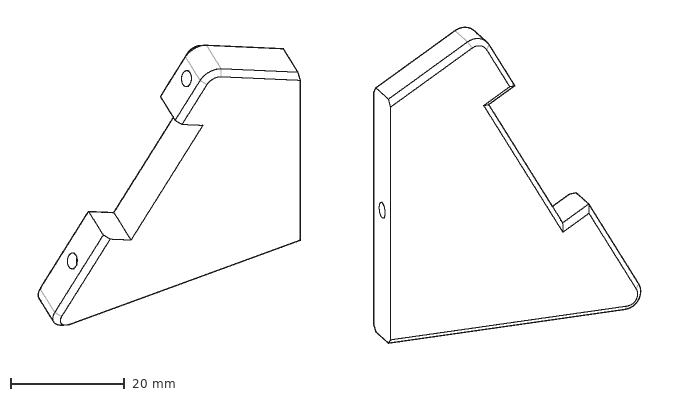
import cadquery as cq
import math

thickness = 8.0
base_length = 50.0
back_height = 46.0
slope_angle = 60.0
nose_radius = 3.0
edge_chamfer = 1.0

notch_start = 24.1
notch_length = 28.0
notch_depth = 5.7

hole_diameter = 2.8
slope_hole_spacing = 44.5
lower_hole_position = 14.9
lower_hole_depth = 2.0
upper_hole_depth = 14.0
back_hole_height = 24.0
back_hole_depth = 14.0

slope = math.radians(slope_angle)
slope_up = (math.cos(slope), math.sin(slope))
slope_inward = (math.sin(slope), -math.cos(slope))


def slope_point(along, depth=0.0):
    """(y, z) of a point up the slope from the sharp toe and below the sloping face."""
    y = -base_length + along * slope_up[0] + depth * slope_inward[0]
    z = along * slope_up[1] + depth * slope_inward[1]
    return (y, z)


def prism(outline):
    """Extrude a (y, z) outline over the full thickness, centred on x = 0."""
    return cq.Workplane("YZ").polyline(outline).close().extrude(thickness / 2, both=True)


def chamfer_side(body, side):
    """Chamfer the outline of one side face, leaving its straight back edge sharp."""
    return body.faces(side).edges("not >Y").chamfer(edge_chamfer)


def make_plate():
    """Plate with a sharp-angled toe and a right-angled peak, both rounded."""
    peak_along = base_length * slope_up[0] + back_height * slope_up[1]
    plate = prism([(0, 0), slope_point(0), slope_point(peak_along), (0, back_height)])
    toe_and_peak = plate.edges("|X").edges("<Y or >Z")
    return toe_and_peak.fillet(nose_radius)


def make_notch():
    """Square notch cutter, reaching clear of the sloping face."""
    notch_end = notch_start + notch_length
    return prism([
        slope_point(notch_start, notch_depth),
        slope_point(notch_end, notch_depth),
        slope_point(notch_end, -notch_depth),
        slope_point(notch_start, -notch_depth),
    ])


def make_hole(mouth, direction, depth):
    """Blind hole cutter in the mid-plane from a (y, z) mouth along a (y, z) direction."""
    return cq.Workplane(cq.Solid.makeCylinder(
        hole_diameter / 2, depth, cq.Vector(0, *mouth), cq.Vector(0, *direction)
    ))


result = chamfer_side(make_plate(), ">X")
result = result.cut(make_notch())
result = chamfer_side(result, "<X")

upper_hole_position = lower_hole_position + slope_hole_spacing
result = result.cut(make_hole(slope_point(lower_hole_position), slope_inward, lower_hole_depth))
result = result.cut(make_hole(slope_point(upper_hole_position), slope_inward, upper_hole_depth))
result = result.cut(make_hole((0, back_hole_height), (-1, 0), back_hole_depth))